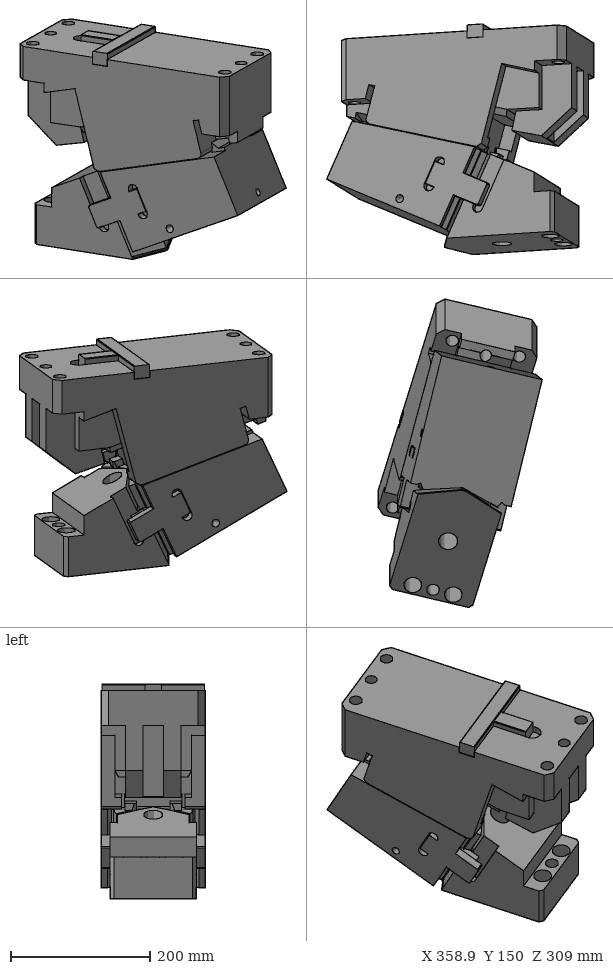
import cadquery as cq
import math



def sloped(origin, angle, points):
    """Turn (along, up) points of a frame inclined about Y into global (x, z) points."""
    cos_a = math.cos(math.radians(angle))
    sin_a = math.sin(math.radians(angle))
    return [
        (origin[0] + along * cos_a - up * sin_a, origin[1] + along * sin_a + up * cos_a)
        for along, up in points
    ]


def slab(points, half_width):
    """Extrude an (x, z) outline symmetrically about the XZ plane."""
    return cq.Workplane("XZ").polyline(points).close().extrude(half_width, both=True)


def block(x_range, y_range, z_range):
    """Axis-aligned box given by its limits."""
    return cq.Workplane("XY").box(
        x_range[1] - x_range[0],
        y_range[1] - y_range[0],
        z_range[1] - z_range[0],
        centered=False,
    ).translate((x_range[0], y_range[0], z_range[0]))


def mirrored(shape):
    """The shape together with its mirror image across the XZ plane."""
    return shape.union(shape.mirror("XZ"))


def upright_hole(x, y, radius):
    """Vertical cylinder tall enough to pass through everything."""
    return cq.Workplane("XY").center(x, y).circle(radius).extrude(FAR)


FAR = 718.3
HALF_WIDTH = 75.0

DECK_TOP = 300.0
DECK_LENGTH = 340.0
CORNER_CHAMFER = 10.5
SHOULDER_Z = 249.3
FINGER_DEPTH = 44.5
FINGER_OUTER_Y = 40.0
FINGER_INNER_Y = 14.7
CHEEK_Y = 55.3
CHEEK_BOTTOM_Z = 184.5
HOOK_LOW = (45.5, 146.0)
HOOK_TIP = (90.5, 157.0)
HOOK_INNER_X = 84.0

KEEL_ANGLE = 15.0
KEEL_CORNER = (126.8, 127.5)
KEEL_LENGTH = 180.3
KEEL_DEPTH = 125.5
KEEL_CHAMFER = 5.7
KEEL_FILLET = 7.2
SLIT_WIDTH = 9.0
SLIT_DEPTH = 55.5
NOSE_Z = 210.0
NOSE_END_Z = 193.2
NOSE_BEVEL = 8.5
NOSE_BEVEL_END = 210.0

POCKET_DEPTH = 20.0
POCKET_FLOOR = 19.0
POCKET_ROOF = 54.5
POCKET_BEVEL = 9.7
POCKET_BEVEL_Y = 50.3
TONGUE_REACH = 18.0
CHANNEL_Y = 41.5
CHANNEL_SLOT = 4.0

LEFT_HOLE_X = 15.5
LEFT_HOLE_Y = 55.0
RIGHT_HOLE_X = 325.0
RIGHT_HOLE_Y = 50.0
OUTER_HOLE_RADIUS = 9.0
CENTRE_HOLE_RADIUS = 8.3

SLIDE_TOP = 309.0
SLIDE_X = (123.0, 147.0)
SLIDE_HALF_WIDTH = 74.0
SLIDE_BOTTOM = 289.5
HANDLE_START = 71.0
HANDLE_HALF_WIDTH = 12.2
HANDLE_SLOT_START = 54.2
EDGE_BREAK = 1.0


def keel(points):
    return sloped(KEEL_CORNER, KEEL_ANGLE, points)


def upper_shell():
    """Full-width deck with the inclined keel, the slit and the right end."""
    nose_x = DECK_LENGTH
    slit_right = KEEL_LENGTH + SLIT_WIDTH
    slope = math.radians(KEEL_ANGLE)
    nose_low = (
        (NOSE_END_Z - KEEL_CORNER[1]) * math.cos(slope)
        - (nose_x - KEEL_CORNER[0]) * math.sin(slope)
    )
    keel_top_left = keel([(0, KEEL_DEPTH)])[0]
    step_z = keel_top_left[1] - (keel_top_left[0] - FINGER_DEPTH) * math.tan(slope)
    outline = [
        (0, DECK_TOP),
        (nose_x, DECK_TOP),
        (nose_x, NOSE_END_Z),
        *keel([
            (slit_right, nose_low),
            (slit_right, SLIT_DEPTH),
            (KEEL_LENGTH, SLIT_DEPTH),
            (KEEL_LENGTH, 0),
            (0, 0),
            (0, KEEL_DEPTH),
        ]),
        (FINGER_DEPTH, step_z),
        (FINGER_DEPTH, SHOULDER_Z),
        (0, SHOULDER_Z),
    ]
    shell = slab(outline, HALF_WIDTH)
    left, right = keel([(0, 0), (KEEL_LENGTH, 0)])
    shell = shell.edges(cq.selectors.NearestToPointSelector((left[0], 0, left[1]))).chamfer(KEEL_CHAMFER)
    shell = shell.edges(cq.selectors.NearestToPointSelector((right[0], 0, right[1]))).fillet(KEEL_FILLET)
    slit_x, slit_z = keel([(slit_right - SLIT_WIDTH / 2, 0)])[0]
    step_x = slit_x - (NOSE_Z - slit_z) * math.tan(slope)
    below_step = [(step_x, NOSE_Z), (FAR, NOSE_Z), (FAR, 0), (slit_x, 0), (slit_x, slit_z)]
    shell = shell.cut(slab(below_step, FAR).cut(slab(below_step, FINGER_OUTER_Y)))
    return shell.cut(nose_bevel(slit_right, nose_low))


def inclined_bar(section, start, end):
    """Extrude a (y, up) section along the keel direction."""
    cos_k = math.cos(math.radians(KEEL_ANGLE))
    sin_k = math.sin(math.radians(KEEL_ANGLE))
    x, z = keel([(start, 0)])[0]
    plane = cq.Plane(origin=(x, 0, z), xDir=(0, 1, 0), normal=(cos_k, 0, sin_k))
    return cq.Workplane(plane).polyline(section).close().extrude(end - start)


def nose_bevel(slit_right, nose_low):
    section = [
        (0, nose_low),
        (FINGER_OUTER_Y, nose_low + NOSE_BEVEL),
        (FINGER_OUTER_Y, nose_low),
    ]
    return mirrored(inclined_bar(section, slit_right, NOSE_BEVEL_END))


def cheek_block():
    """Block behind the fingers, ending in the roof of the keel pocket."""
    return slab(
        [
            (FINGER_DEPTH, DECK_TOP),
            (FINGER_DEPTH, CHEEK_BOTTOM_Z),
            *keel([
                (-TONGUE_REACH, POCKET_ROOF + POCKET_BEVEL),
                (-TONGUE_REACH, POCKET_ROOF),
                (POCKET_DEPTH, POCKET_ROOF),
                (POCKET_DEPTH, KEEL_DEPTH),
            ]),
        ],
        CHEEK_Y,
    )


def fingers():
    """Two hooked fingers at the left end, joined behind the slot between them."""
    hook = slab(
        [
            (0, DECK_TOP),
            (0, CHEEK_BOTTOM_Z),
            HOOK_LOW,
            HOOK_TIP,
            (HOOK_INNER_X, CHEEK_BOTTOM_Z),
            (HOOK_INNER_X, DECK_TOP),
        ],
        FINGER_OUTER_Y,
    )
    slot = block((0, FINGER_DEPTH), (-FINGER_INNER_Y, FINGER_INNER_Y), (0, SHOULDER_Z))
    return hook.cut(slot)


def keel_cut(floor, half_width):
    """Recess in the keel's left face from a floor height up to the pocket roof."""
    corners = [
        (-TONGUE_REACH, floor),
        (POCKET_DEPTH, floor),
        (POCKET_DEPTH, POCKET_ROOF),
        (-TONGUE_REACH, POCKET_ROOF),
    ]
    return slab(keel(corners), half_width)


def keel_pocket():
    """Pocket with the channel that opens it downwards, and separately its slots and roof bevels."""
    pocket = keel_cut(POCKET_FLOOR, CHEEK_Y)
    channel = keel_cut(-TONGUE_REACH, CHANNEL_Y)
    back_x, back_z = keel([(POCKET_DEPTH, POCKET_FLOOR)])[0]
    slot = block((back_x - 2 * POCKET_DEPTH, back_x), (CHANNEL_Y, CHANNEL_Y + CHANNEL_SLOT), (0, back_z))
    roof_bevel = inclined_bar(
        [(CHEEK_Y, POCKET_ROOF), (CHEEK_Y, POCKET_ROOF + POCKET_BEVEL), (POCKET_BEVEL_Y, POCKET_ROOF)],
        -TONGUE_REACH,
        POCKET_DEPTH,
    )
    return pocket.union(channel), mirrored(slot).union(mirrored(roof_bevel))


def deck_holes():
    holes = upright_hole(LEFT_HOLE_X, 0, CENTRE_HOLE_RADIUS)
    holes = holes.union(upright_hole(RIGHT_HOLE_X, 0, CENTRE_HOLE_RADIUS))
    for x, y in ((LEFT_HOLE_X, LEFT_HOLE_Y), (RIGHT_HOLE_X, RIGHT_HOLE_Y)):
        holes = holes.union(mirrored(upright_hole(x, y, OUTER_HOLE_RADIUS)))
    return holes


def slide_and_handle():
    slide = block(SLIDE_X, (-SLIDE_HALF_WIDTH, SLIDE_HALF_WIDTH), (SLIDE_BOTTOM, SLIDE_TOP))
    slide = slide.edges("|Y and >Z").chamfer(EDGE_BREAK)
    handle = block(
        (HANDLE_START, SLIDE_X[0]),
        (-HANDLE_HALF_WIDTH, HANDLE_HALF_WIDTH),
        (SLIDE_BOTTOM, SLIDE_TOP),
    )
    handle = handle.edges("|X and >Z").chamfer(EDGE_BREAK)
    return slide.union(handle)


def slide_groove():
    groove = block(SLIDE_X, (-FAR, FAR), (SLIDE_BOTTOM, FAR))
    end_x = HANDLE_SLOT_START + HANDLE_HALF_WIDTH
    slot = block((end_x, SLIDE_X[0]), (-HANDLE_HALF_WIDTH, HANDLE_HALF_WIDTH), (SLIDE_BOTTOM, FAR))
    slot_end = upright_hole(end_x, 0, HANDLE_HALF_WIDTH).translate((0, 0, SLIDE_BOTTOM))
    return groove.union(slot).union(slot_end)


def make_upper():
    pocket, undercuts = keel_pocket()
    body = upper_shell().cut(pocket).union(cheek_block()).union(fingers()).cut(undercuts)
    deck_plan = (
        cq.Workplane("XY")
        .rect(DECK_LENGTH, 2 * HALF_WIDTH)
        .extrude(FAR)
        .edges("|Z")
        .chamfer(CORNER_CHAMFER)
        .translate((DECK_LENGTH / 2, 0, 0))
    )
    body = body.intersect(deck_plan).cut(deck_holes()).cut(slide_groove())
    return body.union(slide_and_handle())


JOINT_ANGLE = 25.0
JOINT_ORIGIN = (203.5, 4.0)
TAB_LOW = 66.5
TAB_HIGH = 101.3


def joint(points):
    return sloped(JOINT_ORIGIN, JOINT_ANGLE, points)


def joint_prism(plan, low, high):
    """Extrude an (along, y) plan, given for y >= 0, square to the joint direction on both sides."""
    sin_j = math.sin(math.radians(JOINT_ANGLE))
    cos_j = math.cos(math.radians(JOINT_ANGLE))
    plane = cq.Plane(
        origin=(JOINT_ORIGIN[0], 0, JOINT_ORIGIN[1]),
        xDir=(cos_j, 0, sin_j),
        normal=(-sin_j, 0, cos_j),
    )
    outline = plan + [(along, -y) for along, y in reversed(plan) if y > 0]
    return cq.Workplane(plane).workplane(offset=low).polyline(outline).close().extrude(high - low)


def joint_pin(along, up, radius, y_range):
    """Cylinder along Y at a place given in the joint frame."""
    x, z = joint([(along, up)])[0]
    return (
        cq.Workplane("XZ", origin=(0, y_range[0], 0))
        .center(x, z)
        .circle(radius)
        .extrude(y_range[0] - y_range[1])
    )


def joint_bar(along_range, up_range, y_range):
    """Box aligned with the joint frame."""
    corners = joint([
        (along_range[0], up_range[0]),
        (along_range[1], up_range[0]),
        (along_range[1], up_range[1]),
        (along_range[0], up_range[1]),
    ])
    return (
        cq.Workplane("XZ", origin=(0, y_range[0], 0))
        .polyline(corners)
        .close()
        .extrude(y_range[0] - y_range[1])
    )


BASE_HALF_WIDTH = 62.0
BASE_START = 20.0
BASE_CHAMFER = 5.5
LEDGE_Z = 60.0
LEDGE_END = 50.0
BASE_RAMP_UP = 142.2
POINT_DEPTH = 21.5
UPPER_POINT_DEPTH = 27.3
FOOT_SIDE_X = 181.0
FOOT_TIP_X = 204.7

RECESS_Y = 51.5
RECESS_START = -53.5
RECESS_ROUND = 7.5
RECESS_ROUND_UP = 64.3

LEDGE_HOLE_Y = 30.0
LEDGE_HOLE_RADIUS = 12.5
LEDGE_PIN_RADIUS = 9.0
RAMP_HOLE_X = 118.0
RAMP_HOLE_RADIUS = 13.5


def base_end():
    """Space in front of the pointed end, less deep below the tab than above it."""
    lower = joint_prism(
        [(FAR, FAR), (-POINT_DEPTH, FAR), (-POINT_DEPTH, BASE_HALF_WIDTH), (0, 0)],
        -FAR,
        FAR,
    )
    upper = joint_prism(
        [(FAR, FAR), (-UPPER_POINT_DEPTH, FAR), (-UPPER_POINT_DEPTH, RECESS_Y), (0, 0)],
        TAB_HIGH,
        FAR,
    )
    return lower.union(upper)


def base_foot():
    """Thin upright edge below the pointed end."""
    return (
        cq.Workplane("XY")
        .polyline([
            (BASE_START + BASE_CHAMFER, BASE_HALF_WIDTH),
            (FOOT_SIDE_X, BASE_HALF_WIDTH),
            (FOOT_TIP_X, 0),
            (FOOT_SIDE_X, -BASE_HALF_WIDTH),
            (BASE_START + BASE_CHAMFER, -BASE_HALF_WIDTH),
        ])
        .close()
        .extrude(JOINT_ORIGIN[1])
    )


def base_recess():
    """Shallow side recess above the tab with a round-ended slot at its lower left."""
    y_range = (RECESS_Y, FAR)
    slot_right = RECESS_START + 2 * RECESS_ROUND
    recess = joint_bar((RECESS_START, FAR), (TAB_LOW, FAR), y_range)
    recess = recess.union(joint_bar((RECESS_START, slot_right), (RECESS_ROUND_UP, FAR), y_range))
    round_end = joint_pin(RECESS_START + RECESS_ROUND, RECESS_ROUND_UP, RECESS_ROUND, y_range)
    return mirrored(recess.union(round_end))


def make_base():
    slope = math.tan(math.radians(JOINT_ANGLE))
    ramp_end = joint([(0, BASE_RAMP_UP)])[0]
    ramp_z = ramp_end[1] - (ramp_end[0] - LEDGE_END) * slope
    body = slab(
        [
            (BASE_START, 0),
            (BASE_START, LEDGE_Z),
            (LEDGE_END, LEDGE_Z),
            (LEDGE_END, ramp_z),
            ramp_end,
            JOINT_ORIGIN,
            (JOINT_ORIGIN[0], 0),
        ],
        BASE_HALF_WIDTH,
    )
    body = body.edges("|Z and <X").chamfer(BASE_CHAMFER)
    body = body.cut(base_end()).union(base_foot()).cut(base_recess())
    ledge_x = (BASE_START + LEDGE_END) / 2
    body = body.cut(upright_hole(ledge_x, 0, LEDGE_PIN_RADIUS))
    body = body.cut(mirrored(upright_hole(ledge_x, LEDGE_HOLE_Y, LEDGE_HOLE_RADIUS)))
    return body.cut(upright_hole(RAMP_HOLE_X, 0, RAMP_HOLE_RADIUS))


CARRIAGE_END = 179.5
CARRIAGE_BOTTOM = 17.2
CARRIAGE_TOP_LEFT = 142.0
MOUTH = -9.0
CARRIAGE_TOP_RIGHT = CARRIAGE_TOP_LEFT - (CARRIAGE_END - MOUTH) * math.tan(
    math.radians(JOINT_ANGLE - KEEL_ANGLE)
)
MOUTH_FACE_Y = 66.0
MOUTH_GROOVE = (-6.0, 60.5)
LIP_NOTCH = (-13.0, 55.5)
LIP_RIM = (-14.7, 57.0)
LIP_TIP = (-23.5, 53.0)
MOUTH_CLEARANCE = 1.8
TAB_END = -49.5
TAB_CHAMFER = 1.8
KEY_END = -38.8
KEY_TOP = 99.0

SLOT_ALONG = 31.2
SLOT_RADIUS = 7.5
SLOT_LOW = 65.0
SLOT_HIGH = 102.5
BAR_GAP = 1.0
DIMPLE = (64.3, 31.5)
DIMPLE_RADIUS = 5.7
DIMPLE_DEPTH = 7.2
RISER_INNER_Y = 24.0
RISER_START = 5.0
RISER_ROOT = -3.5
RISER_TOP = 8.5
RISER_GAP = 0.7
REAR_LIP = [
    (156.2, 109.2),
    (162.5, 126.0),
    (170.2, 115.0),
    (CARRIAGE_END, 113.5),
    (CARRIAGE_END, CARRIAGE_TOP_RIGHT),
]
END_HOLE_UP = 32.5
END_HOLE_RADIUS = 5.0
END_HOLE_DEPTH = 14.5


def mouth_space(low, high, lip):
    """Space to the left of the carriage's mouth, wrapping around the base's pointed end."""
    edge = [(-FAR, FAR), (MOUTH, FAR), (MOUTH, MOUTH_FACE_Y), MOUTH_GROOVE, LIP_NOTCH, LIP_RIM]
    if lip:
        edge.append(LIP_TIP)
    edge.append((MOUTH_CLEARANCE, 0))
    return joint_prism(edge, low, high)


def tabs():
    """Tab on each side of the base, with a key on its inner side that runs in the base's recess."""
    tab = joint_bar((TAB_END, 0), (TAB_LOW, TAB_HIGH), (BASE_HALF_WIDTH, HALF_WIDTH))
    for corner in joint([(TAB_END, TAB_LOW), (TAB_END, TAB_HIGH)]):
        middle = (corner[0], (BASE_HALF_WIDTH + HALF_WIDTH) / 2, corner[1])
        tab = tab.edges(cq.selectors.NearestToPointSelector(middle)).chamfer(TAB_CHAMFER)
    key = joint_bar((KEY_END, 0), (TAB_LOW, KEY_TOP), (RECESS_Y, BASE_HALF_WIDTH))
    return mirrored(tab.union(key))


def side_slots():
    """Round-ended slot in each side wall, around the flush bar that carries on from the tab."""
    y_range = (BASE_HALF_WIDTH, FAR)
    bar_end = SLOT_ALONG + SLOT_RADIUS - BAR_GAP
    slot = joint_bar((SLOT_ALONG - SLOT_RADIUS, SLOT_ALONG + SLOT_RADIUS), (SLOT_LOW, SLOT_HIGH), y_range)
    for up in (SLOT_LOW, SLOT_HIGH):
        slot = slot.union(joint_pin(SLOT_ALONG, up, SLOT_RADIUS, y_range))
    return mirrored(slot.cut(joint_bar((0, bar_end), (TAB_LOW, TAB_HIGH), y_range)))


def risers():
    """Two short blocks that reach up into the keel's channel."""
    riser_end = POCKET_DEPTH - RISER_GAP
    outline = keel([
        (RISER_START, RISER_ROOT),
        (riser_end, RISER_ROOT),
        (riser_end, RISER_TOP),
        (RISER_START, RISER_TOP),
    ])
    return slab(outline, CHANNEL_Y - RISER_GAP).cut(slab(outline, RISER_INNER_Y))


def rear_lip(keel_body):
    """Raised lip at the right end, fitted around the keel's rounded corner."""
    lip = slab(joint(REAR_LIP), FINGER_OUTER_Y)
    return lip.cut(keel_body)


def side_dimples():
    """Conical dimple in each side wall."""
    x, z = joint([DIMPLE])[0]
    cone = cq.Solid.makeCone(
        DIMPLE_RADIUS, 0, DIMPLE_DEPTH, pnt=cq.Vector(x, HALF_WIDTH, z), dir=cq.Vector(0, -1, 0)
    )
    return mirrored(cq.Workplane(cone))


def make_carriage(keel_body):
    body = slab(
        joint([
            (LIP_TIP[0], CARRIAGE_BOTTOM),
            (CARRIAGE_END, CARRIAGE_BOTTOM),
            (CARRIAGE_END, CARRIAGE_TOP_RIGHT),
            (MOUTH, CARRIAGE_TOP_LEFT),
            (LIP_TIP[0], CARRIAGE_TOP_LEFT),
        ]),
        HALF_WIDTH,
    )
    body = body.union(risers())
    body = body.cut(mouth_space(-FAR, TAB_HIGH, False)).cut(mouth_space(TAB_HIGH, FAR, True))
    body = body.union(rear_lip(keel_body)).union(tabs()).cut(side_slots())
    return body.cut(side_dimples()).cut(end_hole())


def end_hole():
    """Blind hole in the inclined right end face."""
    x, z = joint([(CARRIAGE_END, END_HOLE_UP)])[0]
    cos_j = math.cos(math.radians(JOINT_ANGLE))
    sin_j = math.sin(math.radians(JOINT_ANGLE))
    plane = cq.Plane(origin=(x, 0, z), xDir=(0, 1, 0), normal=(-cos_j, 0, -sin_j))
    return cq.Workplane(plane).circle(END_HOLE_RADIUS).extrude(END_HOLE_DEPTH)


upper = make_upper()
base = make_base()
carriage = make_carriage(upper)

result = cq.Compound.makeCompound([*upper.vals(), *base.vals(), *carriage.vals()])